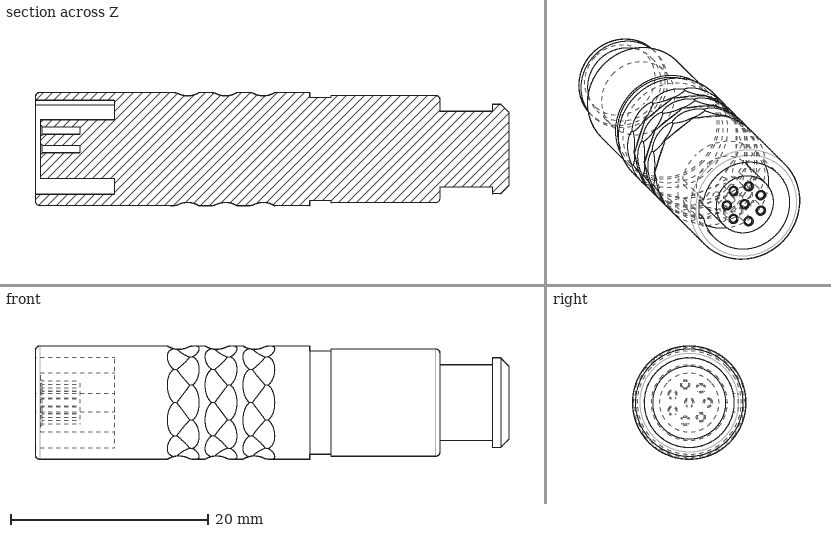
import cadquery as cq
import math

TOTAL_LENGTH = 48.0
SHELL_END = 27.8
GROOVE_END = 29.95
COLLAR_END = 41.0
FLANGE_START = 46.3

SHELL_DIAMETER = 11.5
GROOVE_DIAMETER = 10.5
COLLAR_DIAMETER = 10.9
NECK_DIAMETER = 7.7
FLANGE_DIAMETER = 9.1

FRONT_FILLET = 0.45
COLLAR_FILLET = 0.45
FLANGE_CHAMFER = 0.85

BORE_DIAMETER = 9.15
BORE_DEPTH = 8.0
KEYWAY_WIDTH = 1.9
KEYWAY_REACH = 4.95

INSERT_DIAMETER = 6.0
INSERT_RECESS = 0.5
RING_CONTACTS = 7
CONTACT_RING_RADIUS = 1.88
CONTACT_HOLE_DIAMETER = 0.7
CONTACT_HOLE_DEPTH = 4.0
CONTACT_MOUTH_DIAMETER = 0.95
CONTACT_MOUTH_DEPTH = 0.15

SCALLOPS_PER_RING = 10
SCALLOP_PITCH = 360 / SCALLOPS_PER_RING
SCALLOP_RADIUS = 2.2
SCALLOP_DEPTH = 0.34
SCALLOP_CUTTER_LENGTH = 4.4
BAND_COUNT = 3
BAND_PITCH = 3.83
FIRST_RING_X = 14.54
RING_SPACING = 0.88


def x_cylinder(diameter, start, end):
    """Cylinder about the connector axis between two X positions."""
    return cq.Workplane("YZ", origin=(start, 0, 0)).circle(diameter / 2).extrude(end - start)


def make_outer_body():
    shell = x_cylinder(SHELL_DIAMETER, 0, SHELL_END).faces("<X").edges().fillet(FRONT_FILLET)
    groove = x_cylinder(GROOVE_DIAMETER, SHELL_END, GROOVE_END)
    collar = x_cylinder(COLLAR_DIAMETER, GROOVE_END, COLLAR_END).faces(">X").edges().fillet(COLLAR_FILLET)
    neck = x_cylinder(NECK_DIAMETER, COLLAR_END, FLANGE_START)
    flange = x_cylinder(FLANGE_DIAMETER, FLANGE_START, TOTAL_LENGTH)
    flange = flange.faces(">X").edges().chamfer(FLANGE_CHAMFER)
    return shell.union(groove).union(collar).union(neck).union(flange)


def scallop_ring(ring_x, first_angle):
    """Ring of tangential cylinders that scoop the shell surface at one X position."""
    axis_height = SHELL_DIAMETER / 2 - SCALLOP_DEPTH + SCALLOP_RADIUS
    cutter = (
        cq.Workplane("XZ", origin=(ring_x, 0, axis_height))
        .circle(SCALLOP_RADIUS)
        .extrude(SCALLOP_CUTTER_LENGTH / 2, both=True)
    )
    return [
        cutter.rotate((0, 0, 0), (1, 0, 0), first_angle + index * SCALLOP_PITCH).val()
        for index in range(SCALLOPS_PER_RING)
    ]


def cut_grip(body):
    cutters = []
    for band in range(BAND_COUNT):
        front_x = FIRST_RING_X + band * BAND_PITCH
        cutters += scallop_ring(front_x, 0)
        cutters += scallop_ring(front_x + RING_SPACING, SCALLOP_PITCH / 2)
    return cq.Workplane(body.val().cut(*cutters))


def cut_socket(body):
    """Annular socket around the insert, with a keyway on the +Y side."""
    keyway = cq.Workplane("XY").box(
        BORE_DEPTH, KEYWAY_REACH, KEYWAY_WIDTH, centered=(False, False, True)
    )
    bore = x_cylinder(BORE_DIAMETER, 0, BORE_DEPTH).union(keyway)
    insert = x_cylinder(INSERT_DIAMETER, INSERT_RECESS, BORE_DEPTH)
    return body.cut(bore.cut(insert))


def cut_contacts(body):
    """Stepped contact holes: one in the middle and a ring starting on the +Y side."""
    centres = [(0, 0)]
    for index in range(RING_CONTACTS):
        angle = 2 * math.pi * index / RING_CONTACTS
        centres.append((CONTACT_RING_RADIUS * math.cos(angle), CONTACT_RING_RADIUS * math.sin(angle)))
    insert_face = cq.Workplane("YZ", origin=(INSERT_RECESS, 0, 0)).pushPoints(centres)
    mouths = insert_face.circle(CONTACT_MOUTH_DIAMETER / 2).extrude(CONTACT_MOUTH_DEPTH)
    holes = insert_face.circle(CONTACT_HOLE_DIAMETER / 2).extrude(CONTACT_HOLE_DEPTH)
    return body.cut(mouths).cut(holes)


result = cut_contacts(cut_socket(cut_grip(make_outer_body())))